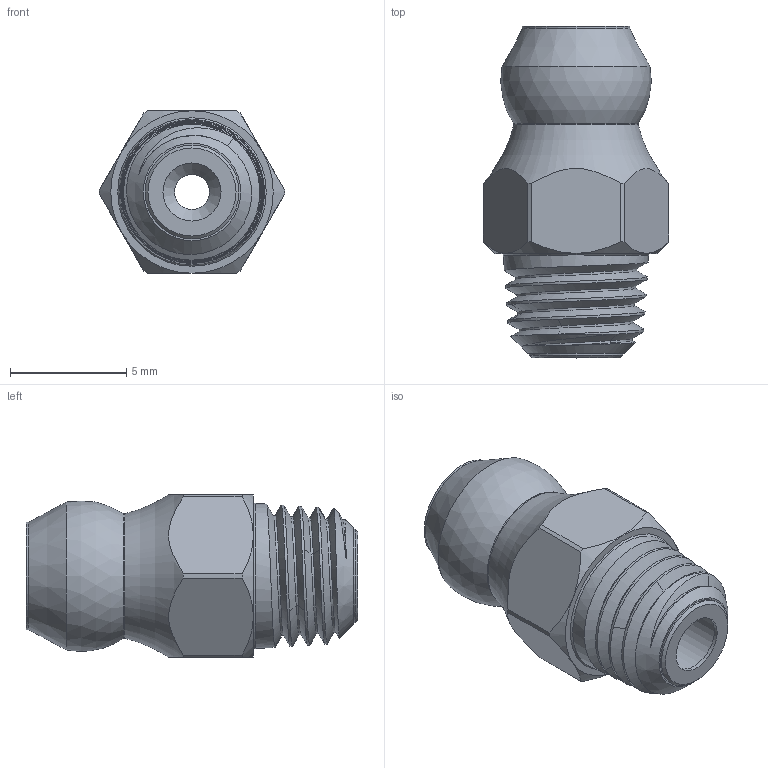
import cadquery as cq
import math


total_length = 14.3
across_flats = 7.0
corner_diameter = 7.98
hex_bottom = 4.5

shank_radius = 3.13
shank_taper = 1 / 16
relief_radius = 3.2
relief_length = 0.07
tip_radius = 1.9
rim_height = 0.12
bevel_bottom = 0.2

pitch = 0.75
thread_depth = 0.47
root_width = 0.1
flank_angle = 30
groove_start = 0.05
groove_turns = 5.125
groove_stretches = 6
groove_overshoot = 0.05

neck_radius = 2.68
neck_bottom = 10.04
neck_mid_radius = 3.12
neck_mid_height = 8.82
flare_end_height = 7.53
ball_radius = 3.25
ball_height = 11.93
head_cone_bottom = 12.57
head_land_length = 0.1
head_top_radius = 2.31

lip_radius = 1.25
lip_thickness = 0.17
bore_radius = 1.5
outlet_radius = 0.75
seat_bottom = 12.0

shank_top = hex_bottom - relief_length
head_cone_top = total_length - head_land_length


def ball_radius_at(height):
    return math.sqrt(ball_radius**2 - (height - ball_height) ** 2)


def ball_height_below(radius):
    return ball_height - math.sqrt(ball_radius**2 - radius**2)


def shank_radius_at(height):
    return shank_radius - (shank_top - height) * shank_taper


def turned_body():
    """Outside of the nipple as turned, before the hexagon and the thread."""
    flat_radius = across_flats / 2
    corner_radius = corner_diameter / 2
    rim_radius = tip_radius + rim_height
    bevel_top = (shank_radius_at(0) - tip_radius) / (1 - shank_taper)
    return (
        cq.Workplane("YZ")
        .moveTo(0, 0)
        .lineTo(tip_radius, 0)
        .lineTo(rim_radius, rim_height)
        .lineTo(rim_radius, bevel_bottom)
        .lineTo(tip_radius + bevel_bottom, bevel_bottom)
        .lineTo(tip_radius + bevel_top, bevel_top)
        .lineTo(shank_radius, shank_top)
        .lineTo(relief_radius, hex_bottom)
        .lineTo(flat_radius, hex_bottom)
        .lineTo(corner_radius, hex_bottom + corner_radius - flat_radius)
        .lineTo(corner_radius, flare_end_height)
        .threePointArc((neck_mid_radius, neck_mid_height), (neck_radius, neck_bottom))
        .lineTo(neck_radius, ball_height_below(neck_radius))
        .threePointArc(
            (ball_radius, ball_height),
            (ball_radius_at(head_cone_bottom), head_cone_bottom),
        )
        .lineTo(head_top_radius, head_cone_top)
        .lineTo(head_top_radius, total_length)
        .lineTo(0, total_length)
        .close()
        .revolve(360, (0, 0, 0), (0, 1, 0))
    )


def hex_envelope():
    """Hexagonal bar with two flats facing along local Y."""
    across_corners = across_flats / math.cos(math.pi / 6)
    return cq.Workplane("XY").polygon(6, across_corners).extrude(total_length)


def grease_passage():
    """Lipped bore, conical ball seat and outlet, right through along the axis."""
    seat_top = seat_bottom + bore_radius - outlet_radius
    return (
        cq.Workplane("YZ")
        .moveTo(0, 0)
        .lineTo(lip_radius, 0)
        .lineTo(lip_radius, lip_thickness)
        .lineTo(bore_radius, lip_thickness)
        .lineTo(bore_radius, seat_bottom)
        .lineTo(outlet_radius, seat_top)
        .lineTo(outlet_radius, total_length)
        .lineTo(0, total_length)
        .close()
        .revolve(360, (0, 0, 0), (0, 1, 0))
    )


def groove_edge(depth, offset, turns_done, turns):
    """One stretch of conical helix, at a depth below the shank and offset along the axis."""
    centre = groove_start + pitch * turns_done
    taper_angle = math.atan(shank_taper)
    slope_length = 1 / math.cos(taper_angle)
    helix = cq.Wire.makeHelix(
        pitch * slope_length,
        pitch * turns * slope_length,
        shank_radius_at(centre) - depth,
        angle=math.degrees(taper_angle),
    )
    helix = helix.rotate(cq.Vector(0, 0, 0), cq.Vector(0, 0, 1), 360 * turns_done)
    return helix.translate(cq.Vector(0, 0, centre + offset)).Edges()[0]


def thread_groove():
    """Right-hand groove with a flat root, bounded by strips between four helices."""
    root_half = root_width / 2
    cutter_height = thread_depth + groove_overshoot
    mouth_half = root_half + cutter_height * math.tan(math.radians(flank_angle))
    corners = [
        (thread_depth, -root_half),
        (thread_depth, root_half),
        (-groove_overshoot, mouth_half),
        (-groove_overshoot, -mouth_half),
    ]
    turns = groove_turns / groove_stretches
    stretches = [
        [groove_edge(depth, offset, i * turns, turns) for depth, offset in corners]
        for i in range(groove_stretches)
    ]
    faces = []
    for edges in stretches:
        for edge, next_edge in zip(edges, edges[1:] + edges[:1]):
            faces.append(cq.Face.makeRuledSurface(edge, next_edge))
    lower_end = [edge.startPoint() for edge in stretches[0]]
    upper_end = [edge.endPoint() for edge in stretches[-1]]
    for end in (lower_end, upper_end):
        faces.append(cq.Face.makeFromWires(cq.Wire.makePolygon(end, close=True)))
    return cq.Workplane(cq.Solid.makeSolid(cq.Shell.makeShell(faces)))


nipple = turned_body().intersect(hex_envelope())
nipple = nipple.cut(grease_passage()).cut(thread_groove())
result = nipple.rotate((0, 0, 0), (1, 0, 0), -90)